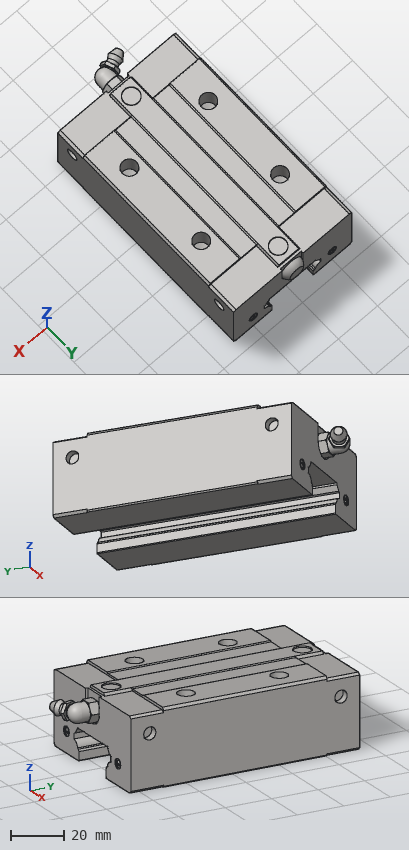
import cadquery as cq
import math

width = 60.0
height = 32.0
half_width = width / 2

body_length = 70.2
cap_length = 11.9
plate_thickness = 2.2
cap_height = 30.9
body_end = body_length / 2
cap_end = body_end + cap_length
plate_end = cap_end + plate_thickness

body_top_chamfer_x = 0.9
body_top_chamfer_z = 1.1
body_bottom_chamfer = 0.6
cap_top_chamfer_x = 1.2
cap_top_chamfer_z = 0.8
cap_bottom_chamfer = 1.0

strip_half_width = 5.0
strip_slope = 0.7
channel_outer_edge = 14.3
channel_depth = 0.3

roof_half, roof_z = 11.7, 13.0
shoulder_half, shoulder_z = 11.9, 12.3
groove_top_half, groove_top_z = 13.5, 10.3
groove_half = 14.3
groove_upper_z, groove_lower_z = 10.0, 7.7
ridge_start_half, ridge_start_z = 13.4, 7.4
ridge_mid_half, ridge_mid_z = 12.2, 6.5
ridge_end_half, ridge_end_z = 11.5, 5.0
ledge_half, ledge_z = 11.0, 4.6
lip_half, lip_z = 10.4, 3.8
lip_chamfer = 0.3

hole_spacing = 40.1
hole_diameter = 7.0
hole_depth = 10.2
drill_point_angle = 118

port_y = body_end + cap_length / 2
top_port_diameter = 7.4
top_port_depth = 0.6
side_port_diameter = 5.2
side_port_depth = 3.2
side_port_z = 22.9

nipple_z = 23.9
recess_radius = 5.3
recess_depth = 1.0
recess_floor = plate_end - recess_depth
plug_height = 2.3
plug_waist_radius = 4.8
plug_waist_height = 0.8
plug_flat_radius = 3.4

screw_x = 20.0
screw_z = 9.0
screw_radius = 2.0
screw_head_height = 0.7
screw_rim_height = 0.2
cross_length = 3.0
cross_width = 0.7
cross_depth = 0.6

elbow_hex_flats = 8.3
elbow_hex_height = 3.1
elbow_radius = 4.0
elbow_length = 6.5
head_angle = 21.8
head_hex_flats = 6.9
head_hex_start = 3.4
head_hex_end = 5.0
hex_corner_chamfer = 0.3
collar_radius = 2.7
neck_at, neck_radius = 6.9, 2.4
flare_at, flare_radius = 8.8, 3.2
tip_at, tip_radius = 12.1, 1.7


def mirrored(right_side):
    """Close an outline given by its +X points, using their mirror image in X."""
    return right_side + [(-x, z) for x, z in reversed(right_side)]


def extrude_along_y(points, y_start, y_end):
    """Extrude an XZ outline between two Y positions."""
    sketch = cq.Workplane("XZ", origin=(0, y_start, 0)).polyline(points).close()
    return sketch.extrude(y_start - y_end)


def make_body():
    """Central body with chamfered edges and two shallow channels in its top."""
    channel_z = height - channel_depth
    right_side = [
        (half_width - body_bottom_chamfer, 0),
        (half_width, body_bottom_chamfer),
        (half_width, height - body_top_chamfer_z),
        (half_width - body_top_chamfer_x, height),
        (channel_outer_edge, height),
        (channel_outer_edge - strip_slope, channel_z),
        (strip_half_width + strip_slope, channel_z),
        (strip_half_width, height),
    ]
    return extrude_along_y(mirrored(right_side), -body_end, body_end)


def make_end(side):
    """End cap with its raised strip, and the end plate; side is -1 or +1 in Y."""
    right_side = [
        (half_width - cap_bottom_chamfer, 0),
        (half_width, cap_bottom_chamfer),
        (half_width, cap_height - cap_top_chamfer_z),
        (half_width - cap_top_chamfer_x, cap_height),
    ]
    strip = [
        (strip_half_width + strip_slope, cap_height),
        (strip_half_width, height),
    ]
    cap = extrude_along_y(mirrored(right_side + strip), side * body_end, side * cap_end)
    plate = extrude_along_y(mirrored(right_side), side * cap_end, side * plate_end)
    return cap.union(plate, clean=False)


def rail_opening():
    """Rail passage with a rounded ridge below each side groove."""
    outline = (
        cq.Workplane("XZ", origin=(0, plate_end, 0))
        .moveTo(0, roof_z)
        .lineTo(roof_half, roof_z)
        .lineTo(shoulder_half, shoulder_z)
        .lineTo(groove_top_half, groove_top_z)
        .lineTo(groove_half, groove_upper_z)
        .lineTo(groove_half, groove_lower_z)
        .lineTo(ridge_start_half, ridge_start_z)
        .threePointArc((ridge_mid_half, ridge_mid_z), (ridge_end_half, ridge_end_z))
        .lineTo(ledge_half, ledge_z)
        .lineTo(lip_half, lip_z)
        .lineTo(lip_half, lip_chamfer)
        .lineTo(lip_half + lip_chamfer, 0)
        .lineTo(0, 0)
        .mirrorY()
    )
    return outline.extrude(2 * plate_end)


def mounting_holes():
    """Four blind drilled holes with conical bottoms."""
    radius = hole_diameter / 2
    point_depth = radius / math.tan(math.radians(drill_point_angle / 2))
    profile = [
        (0, height),
        (radius, height),
        (radius, height - hole_depth),
        (0, height - hole_depth - point_depth),
    ]
    drill = cq.Workplane("XZ").polyline(profile).close().revolve(360, (0, 0), (0, 1))
    offset = hole_spacing / 2
    drills = cq.Workplane("XY")
    for x in (-offset, offset):
        for y in (-offset, offset):
            drills = drills.add(drill.translate((x, y, 0)))
    return drills.combine()


def end_recesses(side):
    """Top port, two side ports and the U-shaped plate recess at one end."""
    y = side * port_y
    cuts = (
        cq.Workplane("XY", origin=(0, y, height - top_port_depth))
        .circle(top_port_diameter / 2)
        .extrude(top_port_depth)
    )
    for direction in (-1, 1):
        port = (
            cq.Workplane("YZ", origin=(direction * half_width, y, side_port_z))
            .circle(side_port_diameter / 2)
            .extrude(-direction * side_port_depth)
        )
        cuts = cuts.add(port)
    recess = (
        cq.Workplane("XZ", origin=(0, side * plate_end, nipple_z))
        .moveTo(-recess_radius, 0)
        .threePointArc((0, -recess_radius), (recess_radius, 0))
        .lineTo(recess_radius, cap_height - nipple_z)
        .lineTo(-recess_radius, cap_height - nipple_z)
        .close()
        .extrude(side * recess_depth)
    )
    return cuts.add(recess).combine()


def make_screw(x, side):
    """Domed cross-recessed screw head on an end plate."""
    dome_mid_height = screw_head_height - (screw_head_height - screw_rim_height) / 4
    head = (
        cq.Workplane("XY")
        .lineTo(screw_radius, 0)
        .lineTo(screw_radius, screw_rim_height)
        .threePointArc(
            (screw_radius / 2, dome_mid_height),
            (0, screw_head_height),
        )
        .close()
        .revolve(360, (0, 0), (0, 1))
    )
    for size_x, size_z in ((cross_length, cross_width), (cross_width, cross_length)):
        slot = cq.Workplane("XY").box(size_x, 2 * cross_depth, size_z)
        head = head.cut(slot.translate((0, screw_head_height, 0)))
    if side < 0:
        head = head.mirror("XZ")
    return head.translate((x, side * plate_end, screw_z))


def make_plug():
    """Rounded closing plug seated in the rear plate recess."""
    return (
        cq.Workplane("XY", origin=(0, recess_floor, nipple_z))
        .lineTo(recess_radius, 0)
        .threePointArc(
            (plug_waist_radius, recess_depth + plug_waist_height),
            (plug_flat_radius, recess_depth + plug_height),
        )
        .lineTo(0, recess_depth + plug_height)
        .close()
        .revolve(360, (0, 0), (0, 1))
    )


def hexagon(plane, flats, length):
    """Hexagonal prism with flats facing up and down and its outer corners chamfered."""
    corner_diameter = flats / math.cos(math.pi / 6)
    prism = cq.Workplane(plane).polygon(6, corner_diameter).extrude(length)
    radius = corner_diameter / 2
    chamfer_envelope = (
        cq.Workplane(plane)
        .circle(radius)
        .extrude(length)
        .faces(cq.selectors.DirectionMinMaxSelector(plane.zDir))
        .chamfer(hex_corner_chamfer)
    )
    return prism.intersect(chamfer_envelope)


def make_nipple():
    """Grease nipple: hexagon, domed elbow and an angled conical head."""
    base = cq.Plane(origin=(0, -recess_floor, nipple_z), xDir=(1, 0, 0), normal=(0, -1, 0))
    hex_foot = hexagon(base, elbow_hex_flats, recess_depth + elbow_hex_height)
    barrel = cq.Workplane(base).circle(elbow_radius).extrude(recess_depth + elbow_length)
    elbow_centre = cq.Vector(0, -plate_end - elbow_length, nipple_z)
    dome = cq.Workplane("XY").sphere(elbow_radius).translate(elbow_centre)

    tilt = math.radians(head_angle)
    axis = cq.Vector(-math.cos(tilt), -math.sin(tilt), 0)
    across = cq.Vector(-math.sin(tilt), math.cos(tilt), 0)
    hex_plane = cq.Plane(elbow_centre + axis * head_hex_start, xDir=across, normal=axis)
    head_hex = hexagon(hex_plane, head_hex_flats, head_hex_end - head_hex_start)
    profile = [
        (0, 0),
        (collar_radius, 0),
        (collar_radius, head_hex_end),
        (neck_radius, neck_at),
        (flare_radius, flare_at),
        (tip_radius, tip_at),
        (0, tip_at),
    ]
    head_plane = cq.Plane(elbow_centre, xDir=across, normal=(0, 0, 1))
    head = cq.Workplane(head_plane).polyline(profile).close().revolve(360, (0, 0), (0, 1))
    return hex_foot.union(barrel).union(dome).union(head_hex).union(head)


block = make_body()
for end in (-1, 1):
    block = block.union(make_end(end), clean=False)
block = block.cut(rail_opening(), clean=False)
block = block.cut(mounting_holes(), clean=False)
for end in (-1, 1):
    block = block.cut(end_recesses(end), clean=False)
    for screw_side in (-1, 1):
        block = block.union(make_screw(screw_side * screw_x, end), clean=False)
result = block.union(make_plug(), clean=False).union(make_nipple(), clean=False)